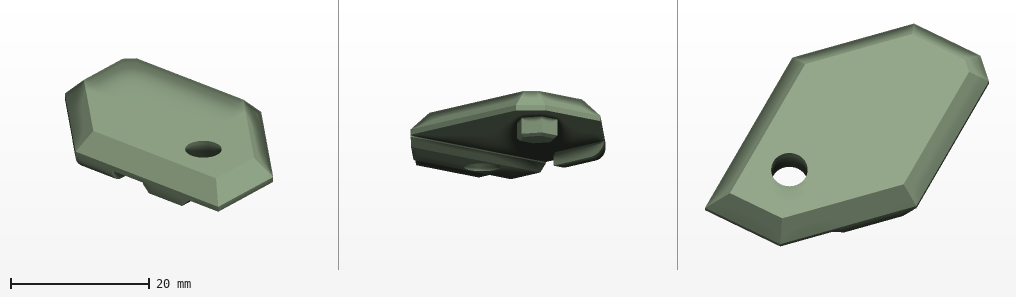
import cadquery as cq

LENGTH = 40.0
WIDTH = 26.9
RIM_HEIGHT = 0.8
BEVEL = 2.7
SMALL_CORNER = 3.0
FRONT_CORNER = 13.0
REAR_CORNER = 14.55
PLATE_HEIGHT = RIM_HEIGHT + BEVEL

HOLE_DIAMETER = 5.3
HOLE_X = 30.0
HOLE_Y = 8.5
RIB_WIDTH = 8.55
RIB_DEPTH = 1.35
RIB_SHOULDER = 0.2
RIB_CHAMFER = RIB_DEPTH - RIB_SHOULDER

PIN_X = 5.95
PIN_Y = 19.95
PIN_FLATS = 5.3
PIN_DEPTH = 2.8
PIN_CHAMFER = 0.4

FOOT_DEPTH = 2.05
FOOT_ROUND = FOOT_DEPTH
FOOT_REACH = 3.85
FOOT_END_X = 19.9
RELIEF_SETBACK = 0.3
RELIEF_STRAIGHT = 0.3
RELIEF_DEPTH = 0.45

OUTLINE = [
    (FRONT_CORNER, 0),
    (LENGTH, 0),
    (LENGTH, WIDTH - REAR_CORNER),
    (LENGTH - REAR_CORNER, WIDTH),
    (SMALL_CORNER, WIDTH),
    (0, WIDTH - SMALL_CORNER),
    (0, FRONT_CORNER),
]


def outline_prism(height):
    """Extrude the plate outline from the underside at Z = 0."""
    return cq.Workplane("XY").polyline(OUTLINE).close().extrude(height)


def make_plate():
    return outline_prism(PLATE_HEIGHT).faces(">Z").chamfer(BEVEL)


def make_rib():
    """Run a chamfered rib across the plate and trim it to the outline."""
    half_top = RIB_WIDTH / 2
    half_bottom = half_top - RIB_CHAMFER
    section = [
        (HOLE_X - half_top, 0),
        (HOLE_X + half_top, 0),
        (HOLE_X + half_top, -RIB_SHOULDER),
        (HOLE_X + half_bottom, -RIB_DEPTH),
        (HOLE_X - half_bottom, -RIB_DEPTH),
        (HOLE_X - half_top, -RIB_SHOULDER),
    ]
    rib = cq.Workplane("XZ").polyline(section).close().extrude(-WIDTH)
    return rib.intersect(outline_prism(-RIB_DEPTH))


def make_pin():
    """Hexagonal pin with two corners pointing along Y."""
    return (
        cq.Workplane("XY")
        .polygon(6, PIN_FLATS, circumscribed=True)
        .extrude(-PIN_DEPTH)
        .faces("<Z")
        .chamfer(PIN_CHAMFER)
        .translate((PIN_X, PIN_Y, 0))
    )


def make_foot():
    """Foot along the front and diagonal edges, rounded on its outer lower edges."""
    footprint = [
        (FRONT_CORNER - FOOT_REACH, FOOT_REACH),
        (FRONT_CORNER, 0),
        (FOOT_END_X, 0),
        (FOOT_END_X, FOOT_REACH),
    ]
    foot = (
        cq.Workplane("XY", origin=(0, 0, RIM_HEIGHT))
        .polyline(footprint)
        .close()
        .extrude(-(RIM_HEIGHT + FOOT_DEPTH))
    )
    foot = foot.faces("<Z").edges("<Y or <X").fillet(FOOT_ROUND)
    relief = (
        cq.Workplane("YZ")
        .polyline([
            (FOOT_REACH, 0),
            (FOOT_REACH - RELIEF_SETBACK, 0),
            (FOOT_REACH - RELIEF_SETBACK, -RELIEF_STRAIGHT),
            (FOOT_REACH, -RELIEF_DEPTH),
        ])
        .close()
        .extrude(FOOT_END_X)
    )
    return foot.cut(relief)


hole = (
    cq.Workplane("XY", origin=(HOLE_X, HOLE_Y, -RIB_DEPTH))
    .circle(HOLE_DIAMETER / 2)
    .extrude(RIB_DEPTH + PLATE_HEIGHT)
)

result = make_plate().union(make_rib()).union(make_pin()).union(make_foot()).cut(hole)